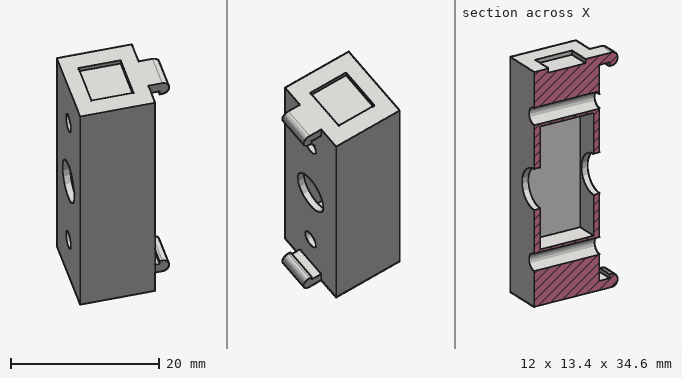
import cadquery as cq

height = 34.6
body_width = 12.0
body_depth = 10.5

window_diameter = 6.0
screw_diameter = 2.5
screw_offset = 10.73

wall = 1.0
chamber_width = 6.68
chamber_height = 18.0

recess_width = 6.68
recess_depth_y = 5.88
recess_sink = 0.62

hook_width = 5.0
hook_reach = 2.9
hook_arm = 1.45
hook_radius = 1.0
hook_gap = 1.55

lip_drop = 0.45
lip_run = 0.35

middle = height / 2
upper_screw_z = middle + screw_offset
lower_screw_z = middle - screw_offset


def block(width, depth, tall, center_y, bottom_z):
    """Box centred on X, placed by its middle in Y and its lowest Z."""
    box = cq.Workplane("XY").box(width, depth, tall, centered=(True, True, False))
    return box.translate((0, center_y, bottom_z))


def bore(diameter, z):
    """Round cutter along Y, through the whole body."""
    circle = cq.Workplane("XZ", origin=(0, 0, z)).circle(diameter / 2)
    return circle.extrude(-body_depth)


def top_hook():
    """Hook level with the top face, with its rounded tip curling down."""
    tip_center_y = body_depth + hook_reach - hook_radius
    tip_bottom = height - 2 * hook_radius
    arm_bottom = height - hook_arm
    gap_end = body_depth + hook_gap
    return (
        cq.Workplane("YZ", origin=(-hook_width / 2, 0, 0))
        .moveTo(body_depth, height)
        .lineTo(tip_center_y, height)
        .threePointArc((body_depth + hook_reach, height - hook_radius), (tip_center_y, tip_bottom))
        .lineTo(gap_end, tip_bottom)
        .lineTo(gap_end, arm_bottom)
        .lineTo(body_depth, arm_bottom)
        .close()
        .extrude(hook_width)
    )


def screw_lip():
    """Wedge at the back of the upper screw hole, sloping down towards the back face."""
    roof = upper_screw_z + screw_diameter / 2
    wedge = (
        cq.Workplane("YZ", origin=(-screw_diameter / 2, 0, 0))
        .moveTo(body_depth - lip_run, roof)
        .lineTo(body_depth, roof)
        .lineTo(body_depth, roof - lip_drop)
        .close()
        .extrude(screw_diameter)
    )
    return wedge.intersect(bore(screw_diameter, upper_screw_z))


body = block(body_width, body_depth, height, body_depth / 2, 0)
recess = block(recess_width, recess_depth_y, recess_sink, body_depth / 2, height - recess_sink)
chamber = block(
    chamber_width, body_depth - 2 * wall, chamber_height, body_depth / 2, middle - chamber_height / 2
)

result = body.cut(recess).cut(chamber).cut(bore(window_diameter, middle))
for screw_z in (lower_screw_z, upper_screw_z):
    result = result.cut(bore(screw_diameter, screw_z))

upper_hook = top_hook()
lower_hook = upper_hook.mirror("XY", (0, 0, middle))
result = result.union(upper_hook).union(lower_hook).union(screw_lip())